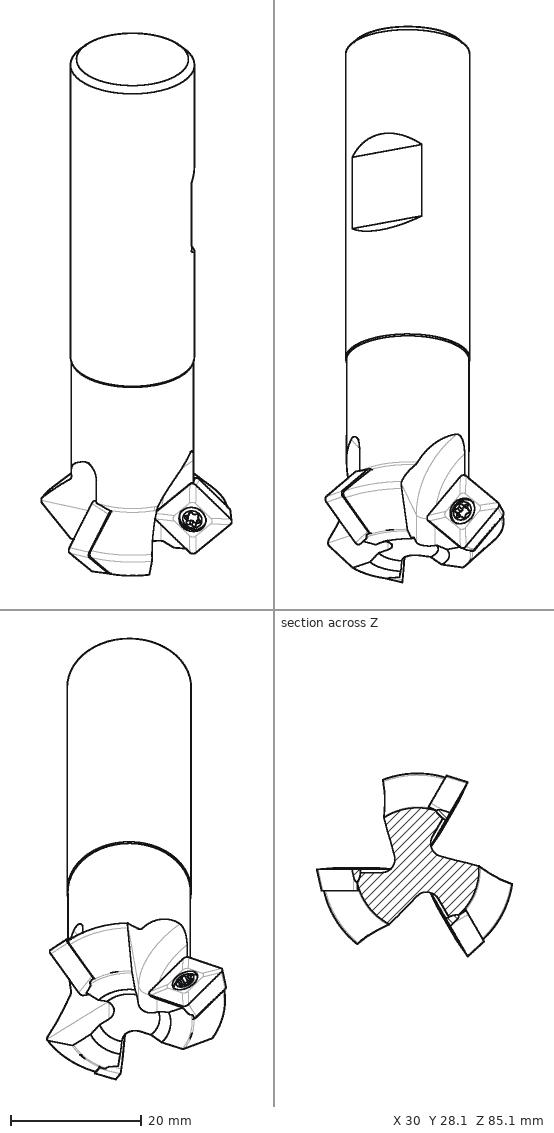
import cadquery as cq
import math


WING_ANGLES = (60, 180, 300)

INSERT_SIDE = 9.0
INSERT_CORNER_RADIUS = 0.7
INSERT_THICKNESS = 3.3
INSERT_CLEARANCE_ANGLE = 9
INSERT_CENTER_RADIUS = 9.4
CROWN_SIDE = 4.7
CROWN_HEIGHT = 0.25
SCREW_RECESS_DIAMETER = 4.2
SCREW_FACE_DIAMETER = 3.0
SOCKET_CORE_DIAMETER = 1.9
SOCKET_LOBE_DIAMETER = 0.6
SOCKET_LOBE_COUNT = 6
SOCKET_DEPTH = 1.3

corner_loss = INSERT_CORNER_RADIUS * (math.sqrt(2) - 1)
ridge_z = INSERT_SIDE / math.sqrt(2) - corner_loss

TOP_Z = 85.1
SHANK_DIAMETER = 19.1
SHANK_END_Z = 33.35
SHANK_CHAMFER = 0.9
SHANK_STEP_LENGTH = 0.25
NECK_DIAMETER = 18.8
FLAT_DEPTH = 2.0
FLAT_LENGTH = 11.9
FLAT_CENTER_Z = 59.1

RIDGE_RADIUS = 14.7
RIDGE_ROUNDING = 0.85
NECK_FILLET = 0.8
HEAD_BOTTOM_Z = 0.5
HEAD_BOTTOM_RADIUS = 9.8
HEAD_BOTTOM_FILLET = 0.4
RECESS_DIAMETER = 12.8
RECESS_FLOOR_DIAMETER = 9.4
RECESS_DEPTH = 1.0

FLUTE_WALL_OFFSET = 0.5
FLUTE_FLOOR_X = 1.7
FLUTE_FLOOR_TILT = 14.3
FLUTE_FILLET = 2.0
FLUTE_RUNOUT_RADIUS = 14.9
FLUTE_REACH = 17.0


def make_shank_and_head():
    """Turn the holder blank: wing head, neck and shank with its chamfered end."""
    neck_radius = NECK_DIAMETER / 2
    apex_radius = RIDGE_RADIUS + RIDGE_ROUNDING * (math.sqrt(2) - 1)
    neck_start_z = ridge_z + apex_radius - neck_radius

    lower_cone = cq.Solid.makeCone(
        HEAD_BOTTOM_RADIUS, apex_radius, ridge_z - HEAD_BOTTOM_Z, cq.Vector(0, 0, HEAD_BOTTOM_Z)
    )
    upper_cone = cq.Solid.makeCone(
        apex_radius, neck_radius, neck_start_z - ridge_z, cq.Vector(0, 0, ridge_z)
    )
    neck = cq.Workplane(origin=(0, 0, ridge_z)).circle(neck_radius).extrude(SHANK_END_Z - ridge_z)
    head = (
        neck.union(upper_cone)
        .union(lower_cone)
        .edges(cq.selectors.RadiusNthSelector(-1))
        .fillet(RIDGE_ROUNDING)
        .edges(cq.selectors.NearestToPointSelector((0, 0, neck_start_z)))
        .fillet(NECK_FILLET)
        .faces("<Z")
        .edges()
        .fillet(HEAD_BOTTOM_FILLET)
    )
    shank = (
        cq.Workplane(origin=(0, 0, SHANK_END_Z))
        .circle(SHANK_DIAMETER / 2)
        .extrude(TOP_Z - SHANK_END_Z)
        .faces(">Z")
        .chamfer(SHANK_CHAMFER)
    )
    shank_step = cq.Solid.makeCone(
        neck_radius, SHANK_DIAMETER / 2, SHANK_STEP_LENGTH, cq.Vector(0, 0, SHANK_END_Z - SHANK_STEP_LENGTH)
    )
    return head.union(shank_step).union(shank)


def make_clamping_flat():
    """Cutter for the flat on the +Y side of the shank, with 45 degree ends."""
    floor_y = SHANK_DIAMETER / 2 - FLAT_DEPTH
    top_y = SHANK_DIAMETER / 2 + FLAT_DEPTH
    half_floor = FLAT_LENGTH / 2
    half_top = half_floor + top_y - floor_y
    return (
        cq.Workplane("YZ", origin=(0, 0, FLAT_CENTER_Z))
        .polyline([(floor_y, -half_floor), (floor_y, half_floor), (top_y, half_top), (top_y, -half_top)])
        .close()
        .extrude(SHANK_DIAMETER, both=True)
    )


def make_bottom_recess():
    """Conical recess in the underside of the head."""
    return cq.Solid.makeCone(
        RECESS_DIAMETER / 2, RECESS_FLOOR_DIAMETER / 2, RECESS_DEPTH, cq.Vector(0, 0, HEAD_BOTTOM_Z)
    )


def make_flute():
    """Cutter for one flute: straight up to the ridge, then curving outwards to run out."""
    runout_axis_x = FLUTE_FLOOR_X + FLUTE_RUNOUT_RADIUS
    floor_run = FLUTE_REACH * math.tan(math.radians(FLUTE_FLOOR_TILT))
    profile = (
        cq.Sketch()
        .polygon(
            [
                (FLUTE_FLOOR_X, FLUTE_WALL_OFFSET),
                (runout_axis_x, FLUTE_WALL_OFFSET),
                (runout_axis_x, FLUTE_WALL_OFFSET - FLUTE_REACH),
                (FLUTE_FLOOR_X + floor_run, FLUTE_WALL_OFFSET - FLUTE_REACH),
                (FLUTE_FLOOR_X, FLUTE_WALL_OFFSET),
            ]
        )
        .vertices("<X")
        .fillet(FLUTE_FILLET)
    )
    plane = cq.Workplane(origin=(0, 0, ridge_z)).placeSketch(profile)
    straight = plane.extrude(-ridge_z)
    runout = plane.revolve(90, (runout_axis_x, 0, 0), (runout_axis_x, 1, 0))
    return straight.union(runout)


def rounded_square(side, height):
    """Square outline with the insert's corner radius, placed at a height."""
    outline = cq.Sketch().rect(side, side).vertices().fillet(INSERT_CORNER_RADIUS)
    return outline.moved(cq.Location(cq.Vector(0, 0, height)))


def stand_on_wing(flat_insert):
    """Stand an insert lying face up at the origin on its corner, with its face towards -Y."""
    return (
        flat_insert.rotate((0, 0, 0), (0, 0, 1), 45)
        .rotate((0, 0, 0), (1, 0, 0), 90)
        .translate((INSERT_CENTER_RADIUS, 0, ridge_z))
    )


def make_insert_blank():
    """Lying insert plate, narrowing towards its back at the clearance angle."""
    clearance = INSERT_THICKNESS * math.tan(math.radians(INSERT_CLEARANCE_ANGLE))
    face = rounded_square(INSERT_SIDE, 0)
    back = rounded_square(INSERT_SIDE - 2 * clearance, -INSERT_THICKNESS)
    return cq.Workplane().placeSketch(back, face).loft()


def make_insert():
    """Lying insert with its raised crown and the socketed screw head in the middle."""
    crown = (
        cq.Workplane()
        .placeSketch(rounded_square(INSERT_SIDE, 0), rounded_square(CROWN_SIDE, CROWN_HEIGHT))
        .loft()
    )
    recess_radius = SCREW_RECESS_DIAMETER / 2
    screw_face_radius = SCREW_FACE_DIAMETER / 2
    groove_bottom = CROWN_HEIGHT - (recess_radius - screw_face_radius)
    screw_groove = (
        cq.Workplane("XZ")
        .polyline(
            [
                (screw_face_radius, CROWN_HEIGHT),
                (recess_radius, groove_bottom),
                (recess_radius, CROWN_HEIGHT),
            ]
        )
        .close()
        .revolve()
    )
    socket_plane = cq.Workplane(origin=(0, 0, CROWN_HEIGHT))
    socket_core = socket_plane.circle(SOCKET_CORE_DIAMETER / 2).extrude(-SOCKET_DEPTH)
    socket_lobes = (
        socket_plane.polarArray(SOCKET_CORE_DIAMETER / 2, 0, 360, SOCKET_LOBE_COUNT)
        .circle(SOCKET_LOBE_DIAMETER / 2)
        .extrude(-SOCKET_DEPTH)
    )
    return make_insert_blank().union(crown).cut(screw_groove).cut(socket_core).cut(socket_lobes)


def turn_to_wing(body, angle):
    """Turn a body about the tool axis to a wing angle."""
    return body.rotate((0, 0, 0), (0, 0, 1), angle)


def make_holder():
    """Holder with clamping flat, underside recess, and a flute and insert seat on each wing."""
    holder = make_shank_and_head().cut(make_clamping_flat()).cut(make_bottom_recess())
    flute = make_flute()
    seat = stand_on_wing(make_insert_blank())
    for angle in WING_ANGLES:
        holder = holder.cut(turn_to_wing(flute, angle)).cut(turn_to_wing(seat, angle))
    return holder


holder = make_holder()
insert = stand_on_wing(make_insert())
inserts = [turn_to_wing(insert, angle).solids().val() for angle in WING_ANGLES]

result = cq.Compound.makeCompound([holder.solids().val(), *inserts])